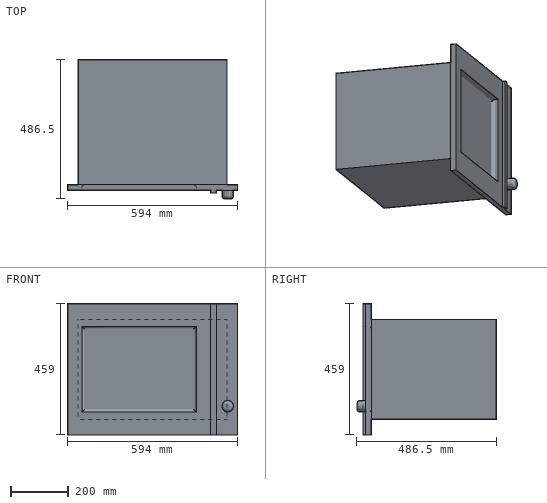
import cadquery as cq

panel_width = 594.0
panel_height = 459.0
panel_thickness = 20.0

housing_width = 520.5
housing_height = 350.0
housing_depth = 436.5

window_left = 49.5
window_width = 400.5
window_height = 300.0
window_depth = panel_thickness
window_floor_radius = 11.0

strip_left = 499.5
strip_width = 20.0
strip_projection = 10.0

knob_x = 559.5
knob_z = 100.5
knob_diameter = 40.0
knob_projection = 30.0
knob_rim_radius = 10.0


def box_at(left, front, bottom, width, depth, height):
    """Box placed by its left, front, bottom corner."""
    return cq.Workplane("XY").box(width, depth, height, centered=False).translate((left, front, bottom))


def make_panel():
    return box_at(0, 0, 0, panel_width, panel_thickness, panel_height)


def make_housing():
    left = (panel_width - housing_width) / 2
    bottom = (panel_height - housing_height) / 2
    return box_at(left, panel_thickness, bottom, housing_width, housing_depth, housing_height)


def make_window_recess():
    """Cutter whose rounded back edges blend the window walls into its floor."""
    bottom = (panel_height - window_height) / 2
    recess = box_at(window_left, 0, bottom, window_width, window_depth, window_height)
    return recess.faces(">Y").edges().fillet(window_floor_radius)


def make_strip():
    return box_at(strip_left, -strip_projection, 0, strip_width, strip_projection, panel_height)


def make_knob():
    knob = (
        cq.Workplane("XZ")
        .center(knob_x, knob_z)
        .circle(knob_diameter / 2)
        .extrude(knob_projection)
    )
    return knob.faces("<Y").edges().fillet(knob_rim_radius)


result = (
    make_panel()
    .union(make_housing())
    .cut(make_window_recess())
    .union(make_strip())
    .union(make_knob())
)